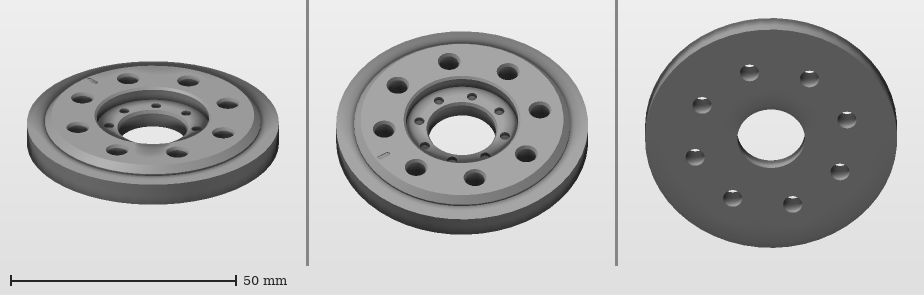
import cadquery as cq

flange_radius = 28.0
flange_height = 5.1
total_height = 7.05
step_radius = 24.0
step_chamfer = 1.5

recess_radius = 12.5
recess_depth = 3.0
recess_chamfer = 0.5
bore_radius = 7.5
bore_chamfer_width = 0.4
bore_chamfer_depth = 0.7
recess_floor = total_height - recess_depth

hole_count = 8
large_hole_radius = 2.1
large_hole_chamfer_width = 0.4
large_hole_chamfer_depth = 0.7
large_hole_circle = 17.5
small_hole_radius = 1.1
small_hole_depth = 1.0
small_hole_circle = 9.75

mark_length = 3.15
mark_width = 1.1
mark_depth = 0.2
mark_center_x = -20.5


def stepped_disc():
    flange = cq.Workplane("XY").circle(flange_radius).extrude(flange_height)
    step = cq.Workplane("XY").circle(step_radius).extrude(total_height)
    return flange.union(step.faces(">Z").chamfer(step_chamfer))


def chamfered_cutter(radius, bottom, top, chamfer_width, chamfer_depth):
    """Round cutter about Z that widens conically into its top opening."""
    return (
        cq.Workplane("XZ")
        .moveTo(0, bottom)
        .lineTo(radius, bottom)
        .lineTo(radius, top - chamfer_depth)
        .lineTo(radius + chamfer_width, top)
        .lineTo(0, top)
        .close()
        .revolve(360, (0, 0, 0), (0, 1, 0))
    )


def hole_ring(cutter, circle_radius, first_angle):
    """Cutters evenly spaced on a circle about Z."""
    ring = cq.Workplane("XY")
    offset_cutter = cutter.translate((circle_radius, 0, 0))
    for index in range(hole_count):
        angle = first_angle + index * 360 / hole_count
        ring = ring.add(offset_cutter.rotate((0, 0, 0), (0, 0, 1), angle))
    return ring.combine()


recess = chamfered_cutter(recess_radius, recess_floor, total_height, recess_chamfer, recess_chamfer)
bore = chamfered_cutter(bore_radius, 0, recess_floor, bore_chamfer_width, bore_chamfer_depth)

large_hole = chamfered_cutter(
    large_hole_radius, 0, total_height, large_hole_chamfer_width, large_hole_chamfer_depth
)
large_holes = hole_ring(large_hole, large_hole_circle, 180 / hole_count)

small_hole = (
    cq.Workplane("XY", origin=(0, 0, recess_floor)).circle(small_hole_radius).extrude(-small_hole_depth)
)
small_holes = hole_ring(small_hole, small_hole_circle, 0)

index_mark = (
    cq.Workplane("XY", origin=(mark_center_x, 0, total_height))
    .slot2D(mark_length, mark_width)
    .extrude(-mark_depth)
)

result = stepped_disc()
for cutter in (recess, bore, large_holes, small_holes, index_mark):
    result = result.cut(cutter)